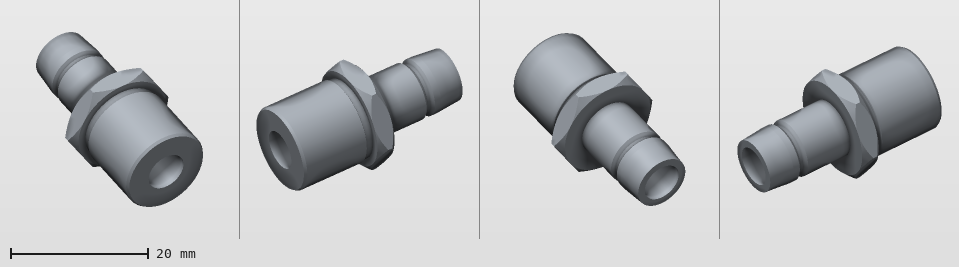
import cadquery as cq
import math

total_length = 29.0
nose_length = 3.95
groove_start = 5.02
groove_floor_start = 5.48
groove_floor_end = 5.97
groove_end = 6.5
hex_start = 14.0
hex_width = 3.0
neck_end = 18.1
body_start = 18.25

nose_radius = 4.15
stem_radius = 4.5
groove_radius = 4.0
neck_radius = 6.32
body_radius = 6.58
bore_radius = 3.0

across_flats = 15.0
hex_land = 0.7
end_chamfer_length = 0.44
end_chamfer_depth = 0.25

hex_end = hex_start + hex_width
corner_radius = across_flats / math.sqrt(3)


def turned_body():
    """Nose, grooved stem, neck, tapered shoulder and large body as one revolved profile."""
    profile = (
        cq.Workplane("XZ")
        .lineTo(0, nose_radius)
        .lineTo(nose_length, stem_radius)
        .lineTo(groove_start, stem_radius)
        .lineTo(groove_floor_start, groove_radius)
        .lineTo(groove_floor_end, groove_radius)
        .lineTo(groove_end, stem_radius)
        .lineTo(hex_start, stem_radius)
        .lineTo(hex_start, neck_radius)
        .lineTo(neck_end, neck_radius)
        .lineTo(body_start, body_radius)
        .lineTo(total_length - end_chamfer_length, body_radius)
        .lineTo(total_length, body_radius - end_chamfer_depth)
        .lineTo(total_length, 0)
        .close()
    )
    return profile.revolve(360, (0, 0, 0), (1, 0, 0))


def hex_collar():
    """Hexagon with flats facing +Z and -Z and cone-chamfered corners."""
    prism = (
        cq.Workplane("YZ", origin=(hex_start, 0, 0))
        .polygon(6, 2 * corner_radius)
        .extrude(hex_width)
    )
    cone_length = (hex_width - hex_land) / 2
    face_radius = across_flats / 2
    double_cone = (
        cq.Workplane("XZ")
        .moveTo(hex_start, 0)
        .lineTo(hex_start, face_radius)
        .lineTo(hex_start + cone_length, corner_radius)
        .lineTo(hex_end - cone_length, corner_radius)
        .lineTo(hex_end, face_radius)
        .lineTo(hex_end, 0)
        .close()
        .revolve(360, (0, 0, 0), (1, 0, 0))
    )
    return prism.intersect(double_cone)


bore = cq.Workplane("YZ").circle(bore_radius).extrude(total_length)

result = turned_body().union(hex_collar()).cut(bore)